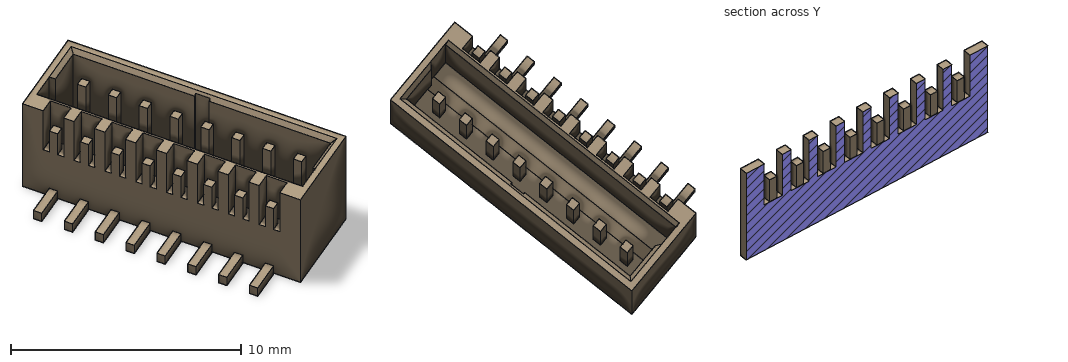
import cadquery as cq

length = 13.5
depth = 4.44
height = 5
back = depth / 2
front = -depth / 2

contact_count = 8
pitch = 1.5
pin_size = 0.4
contact_xs = [(i - (contact_count - 1) / 2) * pitch for i in range(contact_count)]

side_wall = 0.3
front_wall = 0.8
lip = 0.2
front_floor_z = 1.0
floor_step = 0.49
ramp_top_y = back - 1.95
ramp_run = 0.69
cavity_half_length = length / 2 - side_wall
cavity_back = back - side_wall
cavity_front = front + front_wall
pin_floor_z = front_floor_z + floor_step
lip_z = height - lip

guide_end_y = back - 2.43

key_width = 0.7
key_depth = 0.1

pin_row_y = back - 1.5
pin_tip_z = height - 0.63

window_width = 1.0
window_depth = 0.7
window_floor_z = height - 2.35
post_tip_z = height - 1.1

foot_length = 1.55
foot_height = 0.5
foot_drop = 0.05


def block(x_size, y_min, y_max, z_min, z_max, x_centre=0):
    """Box centred on x_centre, spanning the given Y and Z ranges."""
    return (
        cq.Workplane("XY")
        .box(x_size, y_max - y_min, z_max - z_min, centered=(True, False, False))
        .translate((x_centre, y_min, z_min))
    )


def cavity():
    """Open cavity with a stepped floor and lead-ins on the front and back walls."""
    return (
        cq.Workplane("YZ")
        .moveTo(cavity_front, height)
        .lineTo(cavity_front + lip, lip_z)
        .lineTo(cavity_front + lip, front_floor_z)
        .lineTo(ramp_top_y - ramp_run, front_floor_z)
        .lineTo(ramp_top_y, pin_floor_z)
        .lineTo(cavity_back - lip, pin_floor_z)
        .lineTo(cavity_back - lip, lip_z)
        .lineTo(cavity_back, height)
        .close()
        .extrude(cavity_half_length, both=True)
    )


def right_guide():
    """Thickened wall on the +X side, bevelled at its front end and at the rim."""
    inner_x = cavity_half_length - lip
    plan = (
        cq.Workplane("XY")
        .moveTo(cavity_half_length, guide_end_y)
        .lineTo(inner_x, guide_end_y + lip)
        .lineTo(inner_x, cavity_back)
        .lineTo(cavity_half_length, cavity_back)
        .close()
        .extrude(height)
    )
    section = (
        cq.Workplane("XZ", origin=(0, back, 0))
        .moveTo(cavity_half_length, front_floor_z)
        .lineTo(inner_x, front_floor_z)
        .lineTo(inner_x, lip_z)
        .lineTo(cavity_half_length, height)
        .close()
        .extrude(depth)
    )
    return plan.intersect(section)


def key_groove():
    """Groove in the back wall, from the pin floor up to the rim."""
    wall_y = cavity_back - lip
    return block(key_width, wall_y, wall_y + key_depth, pin_floor_z, height)


def window(x):
    """Recess in the front wall, open at the rim and leaving a thin web behind it."""
    return block(window_width, front, front + window_depth, window_floor_z, height, x)


def contact(x):
    """Upright pin in the cavity, post in the window and foot in front of the housing."""
    half_pin = pin_size / 2
    pin = block(pin_size, pin_row_y - half_pin, pin_row_y + half_pin, pin_floor_z, pin_tip_z, x)
    post = block(pin_size, front, front + pin_size, window_floor_z, post_tip_z, x)
    foot = block(pin_size, front - foot_length, front, -foot_drop, foot_height - foot_drop, x)
    return [pin, post, foot]


guide = right_guide()
result = block(length, front, back, 0, height).cut(cavity())
result = result.union(guide).union(guide.mirror("YZ")).cut(key_groove())

for contact_x in contact_xs:
    result = result.cut(window(contact_x))
    for piece in contact(contact_x):
        result = result.union(piece)